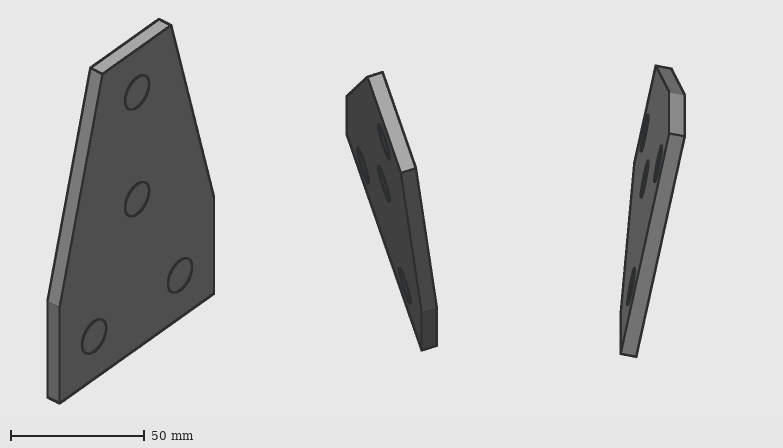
import cadquery as cq

plate_thickness = 6.0
base_width = 90.0
top_width = 40.0
plate_height = 140.0
shoulder_height = 45.0

disc_diameter = 14.0
disc_proud = 0.2
disc_pitch = 50.0
edge_margin = 20.0

bottom = -plate_height / 2
top = plate_height / 2
lower_row = bottom + edge_margin
disc_centres = [
    (-disc_pitch / 2, lower_row),
    (disc_pitch / 2, lower_row),
    (0, lower_row + disc_pitch),
    (0, lower_row + 2 * disc_pitch),
]


def make_plate():
    """Rectangular base that tapers symmetrically to a narrow flat top."""
    outline = [
        (-base_width / 2, bottom),
        (base_width / 2, bottom),
        (base_width / 2, bottom + shoulder_height),
        (top_width / 2, top),
        (-top_width / 2, top),
        (-base_width / 2, bottom + shoulder_height),
    ]
    return cq.Workplane("YZ").polyline(outline).close().extrude(plate_thickness / 2, both=True)


def make_discs():
    """Round discs passing through the plate and standing proud of each face."""
    half_length = plate_thickness / 2 + disc_proud
    return (
        cq.Workplane("YZ")
        .pushPoints(disc_centres)
        .circle(disc_diameter / 2)
        .extrude(half_length, both=True)
    )


result = make_plate().union(make_discs())